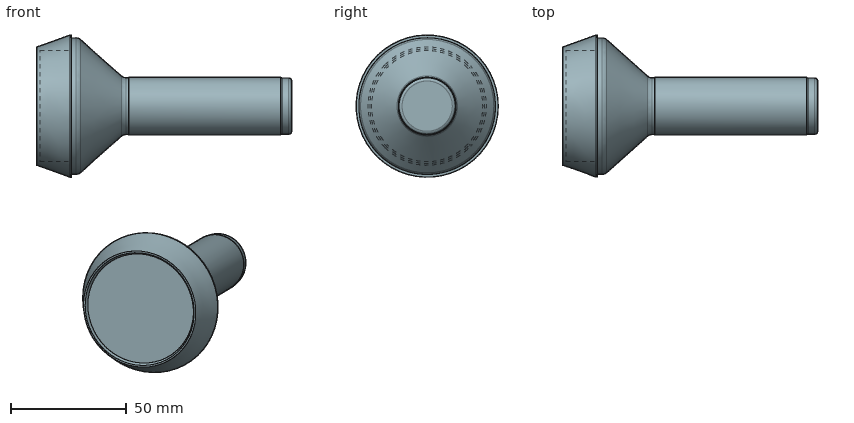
import cadquery as cq

total_length = 110.0

ring_length = 15.0
ring_diameter = 61.4
rim_band = 0.7
ring_front_diameter = 51.0
mouth_diameter = 49.5
bore_diameter = 48.0
recess_depth = 1.3

shoulder_diameter = 59.0
taper_start = 18.2
taper_end = 37.4
taper_fillet = 3.0
neck_diameter = 24.5
shank_diameter = 25.0
shank_start = 39.5
shank_end = 105.7
shank_front_chamfer = 0.3
shank_back_chamfer = 0.7
tail_diameter = 24.3
tail_fillet = 1.3


def revolve_profile(points):
    """Turn a closed (x, radius) outline around the X axis."""
    return cq.Workplane("XY").polyline(points).close().revolve(360, (0, 0, 0), (1, 0, 0))


def circle_at(x, diameter):
    """Selector for the circular edge of a given diameter centred at x on the axis."""
    reach = 0.1
    half = diameter / 2 + reach
    return cq.selectors.BoxSelector((x - reach, -half, -half), (x + reach, half, half), boundingbox=True)


def make_ring():
    return revolve_profile([
        (0, mouth_diameter / 2),
        (0, ring_front_diameter / 2),
        (ring_length - rim_band, ring_diameter / 2),
        (ring_length, ring_diameter / 2),
        (ring_length, bore_diameter / 2),
        (recess_depth, bore_diameter / 2),
    ])


def make_core():
    neck_radius = neck_diameter / 2
    shank_radius = shank_diameter / 2
    core = revolve_profile([
        (recess_depth, 0),
        (recess_depth, bore_diameter / 2),
        (ring_length, bore_diameter / 2),
        (ring_length, shoulder_diameter / 2),
        (taper_start, shoulder_diameter / 2),
        (taper_end, neck_radius),
        (shank_start, neck_radius),
        (shank_start + shank_front_chamfer, shank_radius),
        (shank_end - shank_back_chamfer, shank_radius),
        (shank_end, tail_diameter / 2),
        (total_length, tail_diameter / 2),
        (total_length, 0),
    ])
    core = core.edges(circle_at(taper_start, shoulder_diameter)).fillet(taper_fillet)
    core = core.edges(circle_at(taper_end, neck_diameter)).fillet(taper_fillet)
    return core.edges(circle_at(total_length, tail_diameter)).fillet(tail_fillet)


ring = make_ring()
core = make_core()

result = cq.Compound.makeCompound([ring.val(), core.val()])